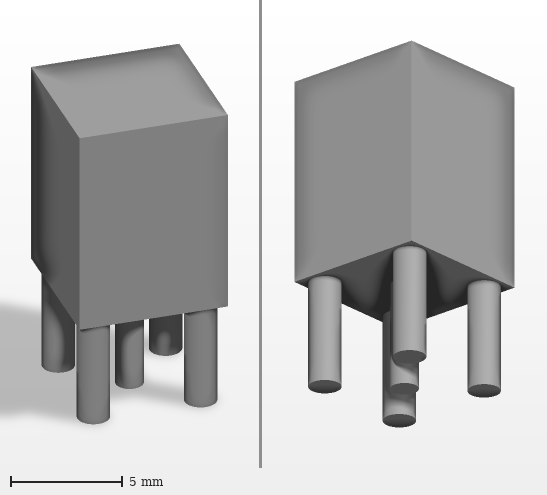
import cadquery as cq

total_height = 14.9
housing_width = 7.0
pin_length = 5.1
housing_height = total_height - pin_length

corner_pin_diameter = 1.5
center_pin_diameter = 1.3
corner_pin_offset = 2.53


def make_housing():
    """Square block standing on the plane where the pins begin."""
    return cq.Workplane("XY").box(
        housing_width, housing_width, housing_height, centered=(True, True, False)
    )


def make_pin(diameter, x, y):
    """Round pin hanging from the underside of the housing."""
    return cq.Workplane("XY").center(x, y).circle(diameter / 2).extrude(-pin_length)


housing = make_housing()
center_pin = make_pin(center_pin_diameter, 0, 0)

corner_pins = []
for x_side in (-1, 1):
    for y_side in (-1, 1):
        corner_pin = make_pin(corner_pin_diameter, x_side * corner_pin_offset, y_side * corner_pin_offset)
        corner_pins.append(corner_pin.val())

result = cq.Compound.makeCompound([housing.val(), center_pin.val(), *corner_pins])